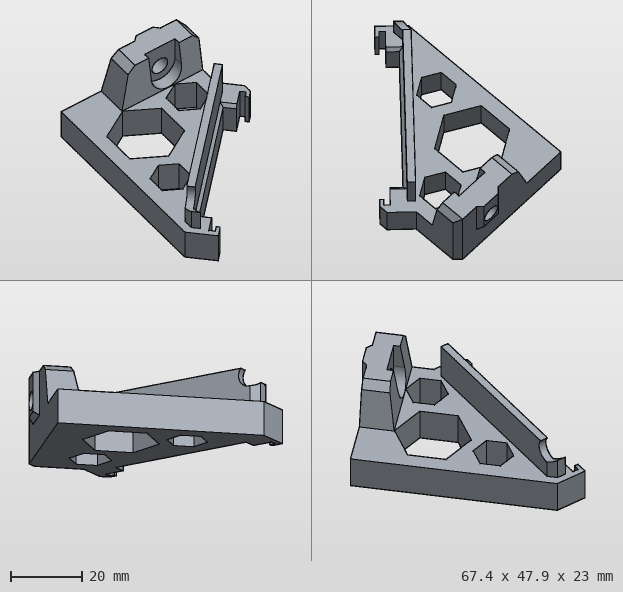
import cadquery as cq
import math

plate_height = 10.0
total_height = 23.0

plate_front_length = 59.2
plate_left_length = 42.05
plate_top_y = 47.85
front_right_tip = (65.9, 6.75)
back_hook_start_x = 16.2

mid_along = 12.1
recess_half = 21.9
recess_out = 44.6
shoulder_out = 48.4
catch_half = 28.0
catch_out = 50.2
lip_half = 26.15
tip_out = 51.35
recess_bevel = 1.0

hex_windows = [
    (16.05, 32.35, 6.05),
    (21.0, 14.15, 11.0),
    (39.15, 9.65, 5.8),
]

fence_top = 20.9
fence_out = recess_out - recess_bevel
fence_thickness = 2.35
fence_start = -26.95
fence_end = 27.65
leg_front_y = 2.55
leg_back_y = 4.45
notch_radius = 3.5
notch_along = 25.1
notch_z = 18.75

block_base_x = 10.0
block_top_x = 7.8
block_front_y = 13.95
block_knee = (17.4, 20.95)
block_top_front_y = 20.0
corner_chamfer = 1.95

pad_depth = 1.5
pad_width = 8.9
pad_root = 0.7
screw_y = 30.05
screw_z = 15.4
screw_radius = 2.7
head_radius = 5.25
head_floor_x = 5.9


def to_xy(along, out):
    """Convert a position in the diagonal frame to plate X and Y."""
    shifted = mid_along + along
    return ((out + shifted) / math.sqrt(2), (out - shifted) / math.sqrt(2))


def diagonal_plane(z):
    """Horizontal plane whose X runs along the long side and Y points outward."""
    centre = to_xy(0, 0)
    return cq.Workplane(cq.Plane(origin=(*centre, z), xDir=(1, -1, 0), normal=(0, 0, 1)))


def hook_points(side):
    """Outline of one hook from its lip tip in to the recess floor; side is +1 or -1."""
    profile = [
        (lip_half, tip_out),
        (lip_half, catch_out),
        (catch_half, catch_out),
        (catch_half, shoulder_out),
        (recess_half, shoulder_out),
        (recess_half, recess_out),
    ]
    return [to_xy(side * along, out) for along, out in profile]


def make_plate():
    lip_line_sum = tip_out * math.sqrt(2)
    outline = [(0, 0), (plate_front_length, 0), front_right_tip]
    outline += hook_points(1)
    outline += reversed(hook_points(-1))
    outline += [
        (lip_line_sum - plate_top_y, plate_top_y),
        (back_hook_start_x + plate_top_y - plate_left_length, plate_top_y),
        (back_hook_start_x, plate_left_length),
        (0, plate_left_length),
    ]
    plate = cq.Workplane("XY").polyline(outline).close().extrude(plate_height)
    for x, y, radius in hex_windows:
        window = cq.Workplane("XY").center(x, y).polygon(6, 2 * radius).extrude(plate_height)
        plate = plate.cut(window)
    return plate


def make_recess_bevel():
    """Cutter that flares the recess walls and floor towards the top face."""
    reach = 2 * (shoulder_out - recess_out)
    return (
        diagonal_plane(plate_height - recess_bevel)
        .center(0, recess_out + reach / 2)
        .rect(2 * recess_half, reach)
        .workplane(offset=recess_bevel)
        .rect(2 * (recess_half + recess_bevel), reach + 2 * recess_bevel)
        .loft(ruled=True)
    )


def make_fence():
    fence_in = fence_out - fence_thickness
    outer_sum = fence_out * math.sqrt(2)
    inner_sum = fence_in * math.sqrt(2)
    end_difference = (mid_along + fence_end) * math.sqrt(2)
    outline = [
        to_xy(fence_start, fence_out),
        (outer_sum - leg_back_y, leg_back_y),
        (end_difference + leg_back_y, leg_back_y),
        (end_difference + leg_front_y, leg_front_y),
        (inner_sum - leg_front_y, leg_front_y),
        to_xy(fence_start, fence_in),
    ]
    fence = cq.Workplane("XY").polyline(outline).close().extrude(fence_top)
    notch_centre = to_xy(notch_along, 0)
    notch_plane = cq.Plane(origin=(*notch_centre, notch_z), xDir=(1, -1, 0), normal=(1, 1, 0))
    notch = cq.Workplane(notch_plane).circle(notch_radius).extrude(tip_out)
    return fence.cut(notch).cut(make_leg_clearance())


def make_leg_clearance():
    """Removes the fence above the notch centre, between the notch and the leg end."""
    length = fence_end - notch_along
    height = fence_top - notch_z
    return (
        diagonal_plane(notch_z)
        .center(notch_along + length / 2, fence_out)
        .rect(length, 4 * fence_thickness)
        .extrude(height)
    )


def make_block():
    side_profile = [
        (block_front_y, 0),
        (block_front_y, plate_height),
        block_knee,
        (block_top_front_y, total_height),
        (plate_left_length - corner_chamfer, total_height),
        (plate_left_length, total_height - corner_chamfer),
        (plate_left_length, 0),
    ]
    block = cq.Workplane("YZ").polyline(side_profile).close().extrude(block_base_x)
    front_profile = [
        (0, 0),
        (block_base_x, 0),
        (block_base_x, plate_height),
        (block_top_x, total_height),
        (0, total_height),
    ]
    sloped = (
        cq.Workplane("XZ").polyline(front_profile).close().extrude(-plate_left_length)
    )
    return block.intersect(sloped)


def make_corner_cut():
    """Full-height chamfer on the back left corner."""
    return (
        cq.Workplane("XY")
        .moveTo(0, plate_left_length)
        .lineTo(corner_chamfer, plate_left_length)
        .lineTo(0, plate_left_length - corner_chamfer)
        .close()
        .extrude(total_height)
    )


def make_pad():
    """Pad on the left face with bevelled sides and lower edge, flush with the block top."""
    height = total_height - plate_height
    pad = (
        cq.Workplane("XY")
        .box(pad_depth + pad_root, pad_width, height, centered=(False, True, False))
        .translate((-pad_depth, screw_y, plate_height))
    )
    outer_sides = pad.faces("<X").edges("|Z or <Z")
    return outer_sides.chamfer(pad_depth)


def make_screw_cut():
    """Screw hole through the pad, opening into a head slot that is open at the top."""
    hole = (
        cq.Workplane("YZ", origin=(-pad_depth, screw_y, screw_z))
        .circle(screw_radius)
        .extrude(pad_depth + block_base_x)
    )
    head = (
        cq.Workplane("YZ", origin=(head_floor_x, screw_y, screw_z))
        .moveTo(-head_radius, total_height - screw_z)
        .lineTo(-head_radius, 0)
        .threePointArc((0, -head_radius), (head_radius, 0))
        .lineTo(head_radius, total_height - screw_z)
        .close()
        .extrude(block_base_x - head_floor_x)
    )
    return hole.union(head)


result = make_plate().cut(make_recess_bevel())
result = result.union(make_fence()).union(make_block())
result = result.cut(make_corner_cut()).union(make_pad()).cut(make_screw_cut())